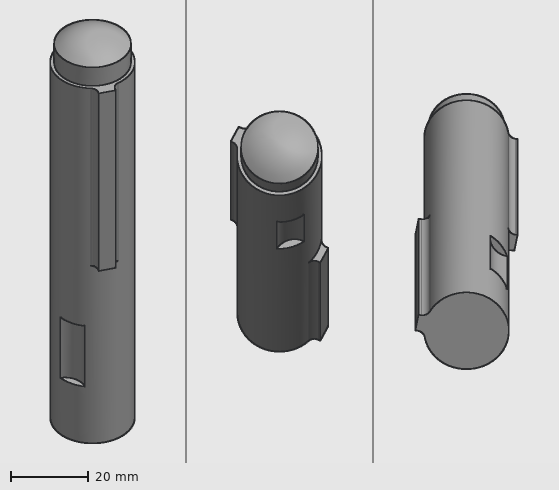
import cadquery as cq
import math

total_height = 127.0
dome_height = 4.0
cap_height = 6.1
body_height = total_height - cap_height - dome_height
half_height = body_height / 2

body_radius = 22.0 / 2
cap_radius = 20.0 / 2

key_span = 26.0
key_width = 4.6
key_root_fillet = 2.2

scoop_length = 20.0
scoop_top_gap = 20.0
scoop_width = 7.4
scoop_radius = 5.5
minus_x_scoop_angle = 133
plus_x_scoop_angle = minus_x_scoop_angle - 180


def make_core():
    """Body, stepped cap and spherical dome as one revolved profile."""
    cap_top = body_height + cap_height
    dome_radius = (cap_radius**2 + dome_height**2) / (2 * dome_height)
    half_sweep = math.asin(cap_radius / dome_radius) / 2
    dome_center_z = total_height - dome_radius
    dome_middle = (
        dome_radius * math.sin(half_sweep),
        dome_center_z + dome_radius * math.cos(half_sweep),
    )
    return (
        cq.Workplane("XZ")
        .lineTo(body_radius, 0)
        .lineTo(body_radius, body_height)
        .lineTo(cap_radius, body_height)
        .lineTo(cap_radius, cap_top)
        .threePointArc(dome_middle, (0, total_height))
        .close()
        .revolve(360, (0, 0, 0), (0, 1, 0))
    )


def make_key(side, base_z):
    """Key on the +X (side = 1) or -X (side = -1) face, blended into the body by concave root arcs."""
    half_width = key_width / 2
    fillet_y = half_width + key_root_fillet
    fillet_reach = body_radius + key_root_fillet
    fillet_x = math.sqrt(fillet_reach**2 - fillet_y**2)
    fillet_angle = math.atan2(fillet_y, fillet_x)
    root_x = body_radius * math.cos(fillet_angle)
    root_y = body_radius * math.sin(fillet_angle)
    middle_angle = (-math.pi / 2 + fillet_angle - math.pi) / 2
    middle_x = fillet_x + key_root_fillet * math.cos(middle_angle)
    middle_y = fillet_y + key_root_fillet * math.sin(middle_angle)
    tip_x = key_span / 2
    return (
        cq.Workplane("XY", origin=(0, 0, base_z))
        .lineTo(side * root_x, -root_y)
        .threePointArc((side * middle_x, -middle_y), (side * fillet_x, -half_width))
        .lineTo(side * tip_x, -half_width)
        .lineTo(side * tip_x, half_width)
        .lineTo(side * fillet_x, half_width)
        .threePointArc((side * middle_x, middle_y), (side * root_x, root_y))
        .close()
        .extrude(half_height)
    )


def make_scoop(angle, half_top_z):
    """Cylindrical cutter along Z that leaves a concave recess of the given width on the body."""
    rim_distance = math.sqrt(body_radius**2 - (scoop_width / 2) ** 2)
    center_offset = math.sqrt(scoop_radius**2 - (scoop_width / 2) ** 2)
    center_distance = rim_distance + center_offset
    direction = math.radians(angle)
    center = (center_distance * math.cos(direction), center_distance * math.sin(direction))
    base_z = half_top_z - scoop_top_gap - scoop_length
    return (
        cq.Workplane("XY", origin=(0, 0, base_z))
        .center(*center)
        .circle(scoop_radius)
        .extrude(scoop_length)
    )


result = (
    make_core()
    .union(make_key(-1, 0))
    .union(make_key(1, half_height))
    .cut(make_scoop(plus_x_scoop_angle, half_height))
    .cut(make_scoop(minus_x_scoop_angle, body_height))
)